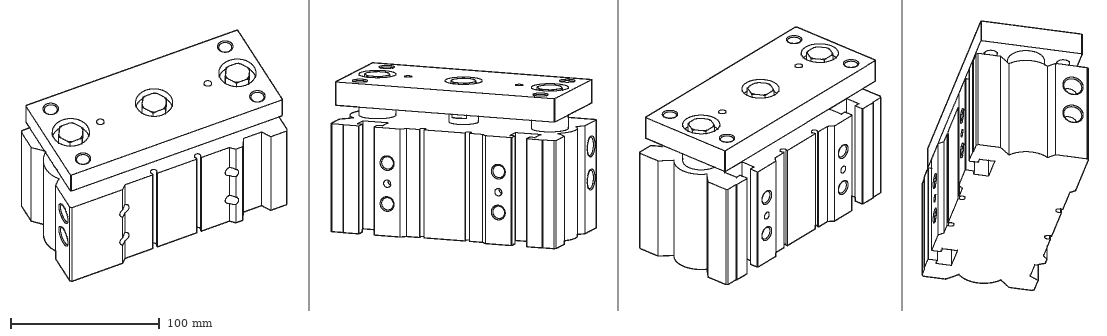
import cadquery as cq
import math

housing_width = 78.0
housing_length = 162.0
housing_height = 74.0
rod_gap = 12.0
plate_thickness = 16.0
plate_width = 70.0
plate_length = 158.0
side_x = housing_width / 2
end_y = housing_length / 2
plate_bottom = housing_height + rod_gap
plate_top = plate_bottom + plate_thickness

guide_rod_y = 62.0
hole_row_y = 40.0
dowel_diameter = 5.0
hole_bevel = 0.8

corner_chamfer = 1.1
lobe_radius = 18.5
end_recess_depth = 8.1
wide_recess_edge = 21.9
port_recess_edge = 16.0
side_recess_depth = 3.2
left_recess_edge = 30.6
right_recess_edge = 42.1
rebate_depth = 0.5
rebate_edge = 72.0

slot_y = 54.9
slot_mouth = 10.7
slot_mouth_bevel = 0.5
slot_lip = 6.5
slot_inner_width = 18.1
slot_depth = 17.0

notch_top = 68.2
notch_bottom = 47.3
notch_depth = 6.5
notch_wall_angle = 60.0

groove_y = 16.4
groove_mouth = 3.2
groove_diameter = 4.2
groove_centre_depth = 2.3

mount_hole_diameter = 8.5
mount_hole_heights = (22.0, 50.0)
side_dowel_height = 36.0
side_dowel_depth = 8.1
port_x = 28.0
port_heights = (35.0, 57.7)
port_diameter = 12.5
port_depth = 13.0

plate_edge_chamfer = 0.5
guide_rod_diameter = 25.0
piston_rod_diameter = 20.0
rod_flat_span = 17.0
rod_flat_length = 8.0
counterbore_diameter = 25.0
counterbore_depth = 7.0
bolt_sides = 6
bolt_across_flats = 15.9
bolt_crown_diameter = 16.7
bolt_bevel_height = 0.5
plate_hole_x = 25.0
plate_hole_y = 65.0
plate_hole_diameter = 8.7


def prism(points):
    """Extrude an XY outline over the full housing height."""
    return cq.Workplane("XY").polyline(points).close().extrude(housing_height)


def block(x0, x1, y_centre, y_size):
    """Full-height rectangular cutter between two X values."""
    outline = cq.Workplane("XY").center((x0 + x1) / 2, y_centre).rect(abs(x1 - x0), y_size)
    return outline.extrude(housing_height)


def bevelled_hole(plane, diameter, depth):
    """Hole cutter starting at the plane, with a 45-degree countersink."""
    mouth = cq.Workplane(plane).circle(diameter / 2 + hole_bevel)
    cone = mouth.workplane(offset=hole_bevel).circle(diameter / 2).loft()
    return cq.Workplane(plane).circle(diameter / 2).extrude(depth).union(cone)


def end_recess(end, left_edge, right_edge):
    """Recess with 45-degree walls at the end = +1 / -1 (Y) face, around the guide rod lobe."""
    floor_y = end * (end_y - end_recess_depth)
    recess = prism([
        (left_edge, end * end_y),
        (left_edge + end_recess_depth, floor_y),
        (right_edge - end_recess_depth, floor_y),
        (right_edge, end * end_y),
    ])
    lobe = cq.Workplane("XY").center(0, end * guide_rod_y).circle(lobe_radius).extrude(housing_height)
    return recess.cut(lobe)


def side_recess(side, edge):
    """Shallow recess with 45-degree walls along the side = +1 / -1 (X) face."""
    floor_x = side * (side_x - side_recess_depth)
    floor_edge = edge - side_recess_depth
    return prism([(side * side_x, edge), (floor_x, floor_edge), (floor_x, -floor_edge), (side * side_x, -edge)])


def end_rebate(end):
    """Shallow step that thins the -X side towards an end."""
    return prism([
        (-side_x, end * (rebate_edge - rebate_depth)),
        (-side_x + rebate_depth, end * rebate_edge),
        (-side_x + rebate_depth, end * end_y),
        (-side_x, end * end_y),
    ])


def t_slot(y):
    """T-slot opening on the -X face, with a bevelled mouth."""
    mouth = block(-side_x, -side_x + slot_depth, y, slot_mouth)
    inner = block(-side_x + slot_lip, -side_x + slot_depth, y, slot_inner_width)
    half = slot_mouth / 2
    bevel = prism([
        (-side_x, y - half - slot_mouth_bevel),
        (-side_x + slot_mouth_bevel, y - half),
        (-side_x + slot_mouth_bevel, y + half),
        (-side_x, y + half + slot_mouth_bevel),
    ])
    return mouth.union(inner).union(bevel)


def sensor_groove(side, y):
    """Round-bottomed groove with a narrower mouth."""
    centre_x = side * (side_x - side_recess_depth - groove_centre_depth)
    mouth = block(side * side_x, centre_x, y, groove_mouth)
    bore = cq.Workplane("XY").center(centre_x, y).circle(groove_diameter / 2).extrude(housing_height)
    return mouth.union(bore)


def side_notch():
    """Tapered notch on the +X face."""
    taper = notch_depth / math.tan(math.radians(notch_wall_angle))
    floor_x = side_x - notch_depth
    return prism([
        (side_x, notch_top),
        (floor_x, notch_top - taper),
        (floor_x, notch_bottom + taper),
        (side_x, notch_bottom),
    ])


def make_housing():
    """Cylinder housing: one profile over the full height, then side holes and ports."""
    body = cq.Workplane("XY").rect(housing_width, housing_length).extrude(housing_height)
    for end in (-1, 1):
        body = body.cut(end_rebate(end))
    body = body.edges("|Z and (<Y or >Y)").chamfer(corner_chamfer)
    body = body.cut(end_recess(1, -wide_recess_edge, wide_recess_edge))
    body = body.cut(end_recess(-1, -wide_recess_edge, port_recess_edge))
    body = body.cut(side_recess(-1, left_recess_edge))
    body = body.cut(side_recess(1, right_recess_edge))
    body = body.cut(side_notch())
    for y_sign in (-1, 1):
        body = body.cut(t_slot(y_sign * slot_y))
        for side in (-1, 1):
            body = body.cut(sensor_groove(side, y_sign * groove_y))

    for y in (-hole_row_y, hole_row_y):
        for z in mount_hole_heights:
            plane = cq.Plane((-side_x, y, z), xDir=(0, 1, 0), normal=(1, 0, 0))
            body = body.cut(bevelled_hole(plane, mount_hole_diameter, housing_width))
        plane = cq.Plane((-side_x, y, side_dowel_height), xDir=(0, 1, 0), normal=(1, 0, 0))
        body = body.cut(cq.Workplane(plane).circle(dowel_diameter / 2).extrude(side_dowel_depth))

    for z in port_heights:
        plane = cq.Plane((port_x, -end_y, z), xDir=(1, 0, 0), normal=(0, 1, 0))
        body = body.cut(bevelled_hole(plane, port_diameter, port_depth))
    return body


def rod(y, diameter):
    """Rod standing on the housing and carrying the plate."""
    return cq.Workplane("XY", origin=(0, y, housing_height)).circle(diameter / 2).extrude(rod_gap)


def piston_rod():
    """Centre rod with two wrench flats just below the plate."""
    shaft = rod(0, piston_rod_diameter)
    flats = cq.Workplane("XY", origin=(0, 0, plate_bottom))
    outside = flats.rect(2 * piston_rod_diameter, 2 * piston_rod_diameter).rect(rod_flat_span, piston_rod_diameter)
    return shaft.cut(outside.extrude(-rod_flat_length))


def bolt_head(y):
    """Hex head standing in a counterbore, flush with the plate, corners bevelled."""
    corner_diameter = bolt_across_flats / math.cos(math.pi / bolt_sides)
    seat = cq.Workplane("XY", origin=(0, y, plate_top - counterbore_depth))
    hexagon = seat.transformed(rotate=(0, 0, 90)).polygon(bolt_sides, corner_diameter).extrude(counterbore_depth)
    envelope = seat.circle(corner_diameter / 2).extrude(counterbore_depth)
    bevel_run = (corner_diameter - bolt_crown_diameter) / 2
    envelope = envelope.faces(">Z").chamfer(bolt_bevel_height, bevel_run)
    return hexagon.intersect(envelope)


def make_plate_assembly():
    """Moving plate with its bolt heads, guide rods and piston rod as one body."""
    plate_outline = cq.Workplane("XY", origin=(0, 0, plate_bottom)).rect(plate_width, plate_length)
    plate = plate_outline.extrude(plate_thickness)
    plate = plate.edges("|Z").chamfer(plate_edge_chamfer)
    for y in (-guide_rod_y, 0, guide_rod_y):
        counterbore = cq.Workplane("XY", origin=(0, y, plate_top)).circle(counterbore_diameter / 2)
        plate = plate.cut(counterbore.extrude(-counterbore_depth)).union(bolt_head(y))
    for x in (-plate_hole_x, plate_hole_x):
        for y in (-plate_hole_y, plate_hole_y):
            plane = cq.Plane((x, y, plate_top), xDir=(1, 0, 0), normal=(0, 0, -1))
            plate = plate.cut(bevelled_hole(plane, plate_hole_diameter, plate_thickness))
    for y in (-hole_row_y, hole_row_y):
        dowel = cq.Workplane("XY", origin=(0, y, plate_bottom)).circle(dowel_diameter / 2)
        plate = plate.cut(dowel.extrude(plate_thickness))
    for y in (-guide_rod_y, guide_rod_y):
        plate = plate.union(rod(y, guide_rod_diameter))
    return plate.union(piston_rod())


housing = make_housing()
plate_assembly = make_plate_assembly()
result = cq.Compound.makeCompound([housing.solids().val(), plate_assembly.solids().val()])